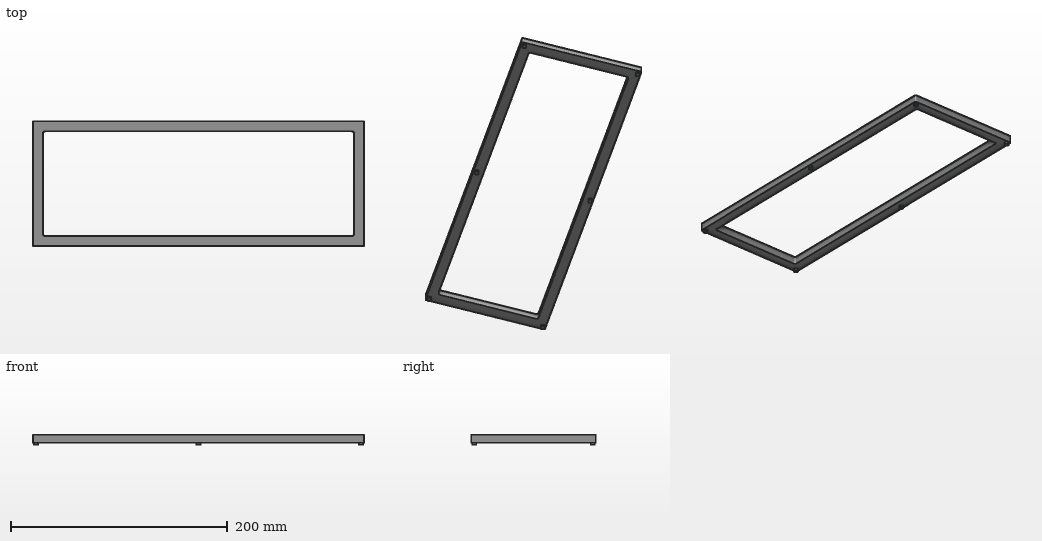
import cadquery as cq

length = 305.8
width = 115.3
height = 9.5

rail_width = 9.5
outer_edge_radius = 1.0
opening_corner_radius = 2.0

foot_height = 1.9
foot_diameter = 4.0
foot_inset = 2.95


def make_frame():
    """Frame standing on the feet, rounded on its upright and top outer edges."""
    block = (
        cq.Workplane("XY")
        .workplane(offset=foot_height)
        .rect(length, width)
        .extrude(height - foot_height)
        .edges("|Z or >Z")
        .fillet(outer_edge_radius)
    )
    opening = (
        cq.Workplane("XY")
        .rect(length - 2 * rail_width, width - 2 * rail_width)
        .extrude(height)
        .edges("|Z")
        .fillet(opening_corner_radius)
    )
    return block.cut(opening)


def make_foot(x, y):
    """One foot from the ground plane up to the underside of the frame."""
    return cq.Workplane("XY").center(x, y).circle(foot_diameter / 2).extrude(foot_height)


foot_x = length / 2 - foot_inset
foot_y = width / 2 - foot_inset

result = make_frame()
for x in (-foot_x, 0, foot_x):
    for y in (-foot_y, foot_y):
        result = result.union(make_foot(x, y))